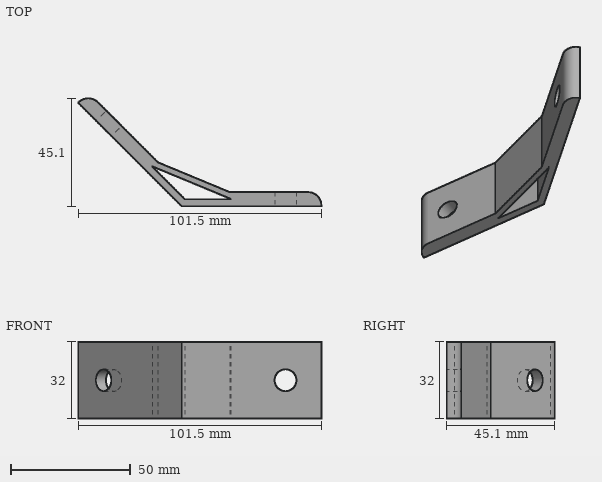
import cadquery as cq
import math

overall_length = 101.5
height = 32.0
slanted_leg_length = 61.1
leg_thickness = 6.0
tip_radius = 5.7
leg_tilt = 45.0
brace_start = 20.0
brace_thickness = 2.5
wall_thickness = 3.0
hole_diameter = 9.0
hole_to_tip = 15.0

tilt = math.radians(leg_tilt)
straight_leg_length = overall_length - slanted_leg_length * math.cos(tilt)
brace_angle = tilt / 2
brace_drop = brace_thickness / math.cos(brace_angle)
opening_corner = wall_thickness * math.tan(brace_angle)
opening_tip = brace_start + (leg_thickness - brace_drop - wall_thickness) / math.tan(brace_angle)


def on_straight(along, depth):
    """Point on the leg along +X, measured from the bend and in from the outer face."""
    return (along, depth)


def on_slanted(along, depth):
    """The same measurements on the slanted leg."""
    return (
        -along * math.cos(tilt) + depth * math.sin(tilt),
        along * math.sin(tilt) + depth * math.cos(tilt),
    )


def tip_points(place, length):
    """Outer corner, arc start, arc middle and arc end of a rounded leg tip."""
    arc_center = length - tip_radius
    arc_base = leg_thickness - tip_radius
    diagonal = tip_radius * math.sqrt(0.5)
    return (
        place(length, 0),
        place(length, arc_base),
        place(arc_center + diagonal, arc_base + diagonal),
        place(arc_center, leg_thickness),
    )


def make_body():
    """Bent bar with rounded tips and a brace across the inside of the bend."""
    corner, arc_start, arc_middle, arc_end = tip_points(on_straight, straight_leg_length)
    far_corner, far_start, far_middle, far_end = tip_points(on_slanted, slanted_leg_length)
    return (
        cq.Workplane("XY")
        .moveTo(0, 0)
        .lineTo(*corner)
        .lineTo(*arc_start)
        .threePointArc(arc_middle, arc_end)
        .lineTo(*on_straight(brace_start, leg_thickness))
        .lineTo(*on_slanted(brace_start, leg_thickness))
        .lineTo(*far_end)
        .threePointArc(far_middle, far_start)
        .lineTo(*far_corner)
        .close()
        .extrude(height)
    )


def make_opening():
    """Triangular opening between the brace and the bend, through the full height."""
    corners = [
        on_straight(opening_corner, wall_thickness),
        on_straight(opening_tip, wall_thickness),
        on_slanted(opening_tip, wall_thickness),
    ]
    return cq.Workplane("XY").polyline(corners).close().extrude(height)


def make_hole(place, leg_length):
    """Cylinder square through a leg at mid height."""
    along = leg_length - hole_to_tip
    start = cq.Vector(*place(along, 0), height / 2)
    end = cq.Vector(*place(along, leg_thickness), height / 2)
    return cq.Solid.makeCylinder(hole_diameter / 2, leg_thickness, start, end - start)


result = (
    make_body()
    .cut(make_opening())
    .cut(make_hole(on_straight, straight_leg_length))
    .cut(make_hole(on_slanted, slanted_leg_length))
)